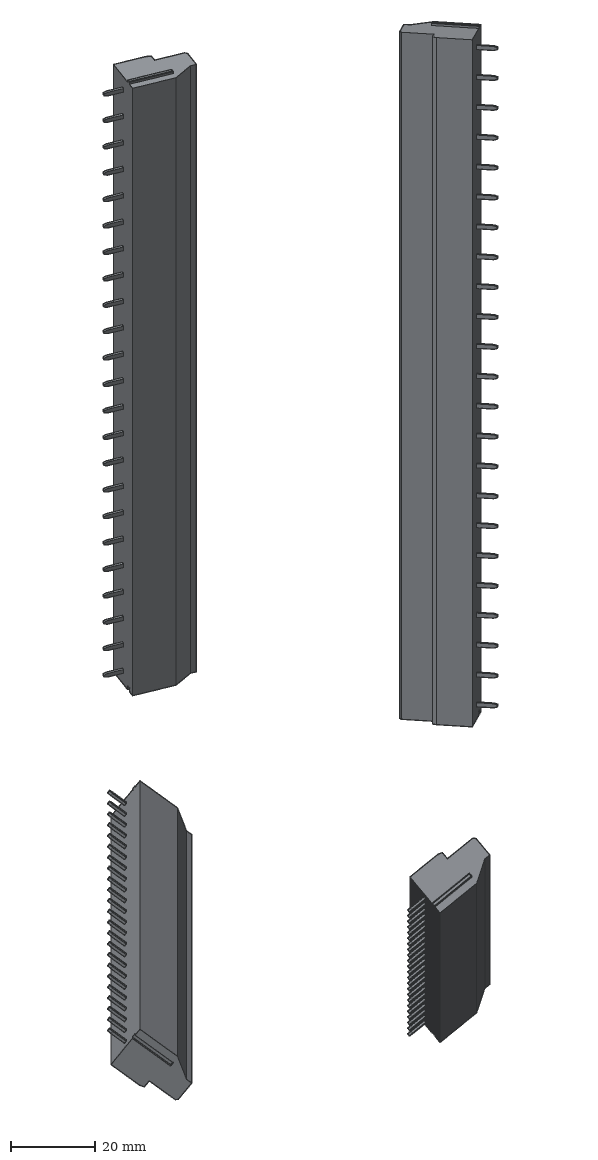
import cadquery as cq

overall_height = 173.1
tongue_height = 0.7
housing_height = overall_height - tongue_height
pole_count = 23
pitch = housing_height / pole_count
width = 11.3
depth = 18.0

step_width = 2.3
step_depth = 9.7
step_bevel_length = 1.0
step_bevel_offset = 0.3

back_chamfer = 0.5
back_right = 8.0
slope_back = 16.5
slope_front = 11.3

joint_width = 1.0
joint_length = 11.5
joint_center = 8.8
tongue_chamfer = 0.2
groove_depth = 1.0

pin_length = 5.0
pin_width = 0.7
pin_height = 1.0
pin_tip_length = 0.9
pin_tip_height = 0.5


def make_housing():
    outline = [
        (0, 0),
        (width, 0),
        (width, slope_front),
        (back_right, slope_back),
        (back_right, depth),
        (step_width + back_chamfer, depth),
        (step_width, depth - back_chamfer),
        (step_width, step_depth),
        (step_bevel_offset, step_depth),
        (0, step_depth - step_bevel_length),
    ]
    return cq.Workplane("XY").polyline(outline).close().extrude(housing_height)


def make_bar(bar_height, base_z):
    """Straight bar along Y, running back from the front face."""
    bar = cq.Workplane("XY").box(joint_width, joint_length, bar_height, centered=(True, False, False))
    return bar.translate((joint_center, 0, base_z))


def make_pin(z):
    """Flat pin pointing to -Y, with its tip narrowed in Z."""
    half_height = pin_height / 2
    half_tip = pin_tip_height / 2
    shoulder = pin_tip_length - pin_length
    side = [
        (0, z - half_height),
        (shoulder, z - half_height),
        (-pin_length, z - half_tip),
        (-pin_length, z + half_tip),
        (shoulder, z + half_height),
        (0, z + half_height),
    ]
    pin = cq.Workplane("YZ").polyline(side).close().extrude(pin_width / 2, both=True)
    return pin.translate((width / 2, 0, 0))


tongue = make_bar(tongue_height, housing_height)
tongue = tongue.faces(">Z").edges("|Y or >Y").chamfer(tongue_chamfer)
groove = make_bar(groove_depth, 0)

result = make_housing().union(tongue).cut(groove)
for pole in range(pole_count):
    result = result.union(make_pin((pole + 0.5) * pitch))